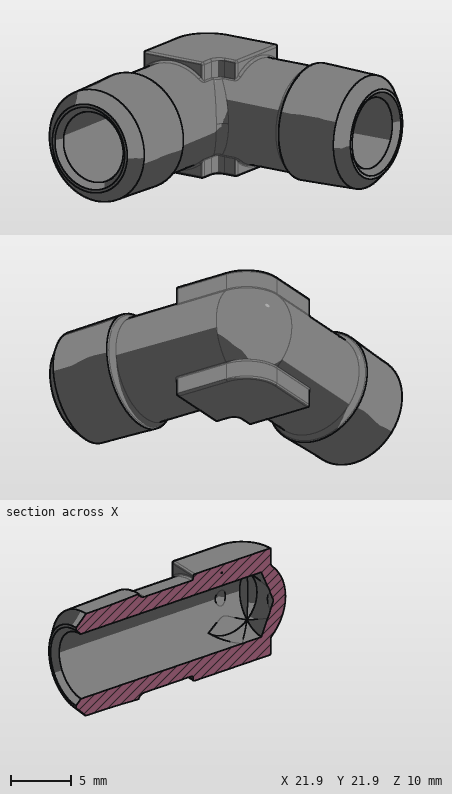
import cadquery as cq
import math

overall_length = 21.93
overall_height = 10.0

tube_radius = 4.5
collar_radius = 4.93
collar_tip_radius = 4.78
arm_length = overall_length - collar_radius
tip_chamfer = 1.0
collar_start = 10.57
shoulder_height = collar_radius - tube_radius
tube_length = collar_start - 2 * shoulder_height
shoulder_angle = math.radians(60)
shoulder_fillet = 0.6
crotch_fillet = 0.72

bore_radius = 3.0
mouth_radius = 3.5
mouth_depth = mouth_radius - bore_radius
bore_overrun = 1.97
drill_point_angle = 135.0
drill_point_length = bore_radius / math.tan(math.radians(drill_point_angle / 2))

pad_half_width = 3.0
pad_arc_mid = pad_half_width * math.cos(math.radians(45))
pad_reach = overall_height / 2
pad_notch_fillet = 0.75
pad_round = 0.2


def turn_to_minus_y(arm):
    """Copy of an X-axis body of revolution, laid along -Y."""
    return arm.rotate((0, 0, 0), (0, 0, 1), -90)


def nearest_to(x, y, z):
    """Selector for the edge whose centre lies closest to a point."""
    return cq.selectors.NearestToPointSelector((x, y, z))


def revolve_about_x(profile):
    """Full turn of a half-section drawn above the X axis."""
    return profile.close().revolve(360, (0, 0, 0), (1, 0, 0))


def make_tube():
    """Plain tube length, from the elbow to just short of the shoulder."""
    return cq.Workplane("YZ").circle(tube_radius).extrude(tube_length)


def make_collar():
    """Tapered collar with a blended shoulder and a chamfered tip."""
    blend_rise = shoulder_fillet * (1 - math.cos(shoulder_angle))
    blend_run = shoulder_fillet * math.sin(shoulder_angle)
    cone_run = (shoulder_height - blend_rise) / math.tan(shoulder_angle)
    blend_start = collar_start - cone_run - blend_run
    blend_mid = (
        blend_start + shoulder_fillet * math.sin(shoulder_angle / 2),
        tube_radius + shoulder_fillet * (1 - math.cos(shoulder_angle / 2)),
    )
    blend_end = (blend_start + blend_run, tube_radius + blend_rise)
    profile = (
        cq.Workplane("XY")
        .moveTo(tube_length, 0)
        .lineTo(tube_length, tube_radius)
        .lineTo(blend_start, tube_radius)
        .threePointArc(blend_mid, blend_end)
        .lineTo(collar_start, collar_radius)
        .lineTo(arm_length - tip_chamfer, collar_tip_radius)
        .lineTo(arm_length, collar_tip_radius - tip_chamfer)
        .lineTo(arm_length, 0)
    )
    return revolve_about_x(profile)


def make_bore():
    """Drilled bore with a flared mouth, ending in a drill point past the other axis."""
    profile = (
        cq.Workplane("XY")
        .moveTo(-bore_overrun - drill_point_length, 0)
        .lineTo(-bore_overrun, bore_radius)
        .lineTo(arm_length - mouth_depth, bore_radius)
        .lineTo(arm_length, mouth_radius)
        .lineTo(arm_length, 0)
    )
    return revolve_about_x(profile)


def make_pads():
    """L-shaped block whose ends show as pads above and below the elbow."""
    block = (
        cq.Workplane("XY")
        .workplane(offset=-overall_height / 2)
        .moveTo(0, pad_half_width)
        .lineTo(pad_reach, pad_half_width)
        .lineTo(pad_reach, -pad_half_width)
        .lineTo(pad_half_width, -pad_half_width)
        .lineTo(pad_half_width, -pad_reach)
        .lineTo(-pad_half_width, -pad_reach)
        .lineTo(-pad_half_width, 0)
        .threePointArc((-pad_arc_mid, pad_arc_mid), (0, pad_half_width))
        .close()
        .extrude(overall_height)
    )
    block = block.edges(nearest_to(pad_half_width, -pad_half_width, 0)).fillet(pad_notch_fillet)
    for x, y in (
        (pad_reach, pad_half_width),
        (pad_reach, -pad_half_width),
        (pad_half_width, -pad_reach),
        (-pad_half_width, -pad_reach),
    ):
        block = block.edges(nearest_to(x, y, 0)).fillet(pad_round)
    return block.faces("<Z or >Z").edges().fillet(pad_round)


def round_pad_toes(body):
    """Blend the foot of each pad into the elbow; each foot is one smooth closed chain of edges."""
    foot_height = math.sqrt(tube_radius**2 - pad_half_width**2)
    for z in (foot_height, -foot_height):
        corner_arc = nearest_to(-pad_arc_mid, pad_arc_mid, z)
        body = body.edges(corner_arc).fillet(pad_round)
    return body


def make_elbow():
    """Two tubes round a ball, with the inner crease filleted."""
    tube = make_tube()
    ball = cq.Workplane("XY").sphere(tube_radius)
    elbow = tube.union(turn_to_minus_y(tube)).union(ball)
    crease_margin = tube_radius / 2
    crease = cq.selectors.BoxSelector(
        (crease_margin, -crease_margin, -tube_radius),
        (tube_radius, -tube_radius, tube_radius),
    )
    return elbow.edges(crease).fillet(crotch_fillet)


collar = make_collar()
bore = make_bore()
body = round_pad_toes(make_elbow().union(make_pads()))
for feature in (collar, turn_to_minus_y(collar)):
    body = body.union(feature)
for feature in (bore, turn_to_minus_y(bore)):
    body = body.cut(feature)

result = body